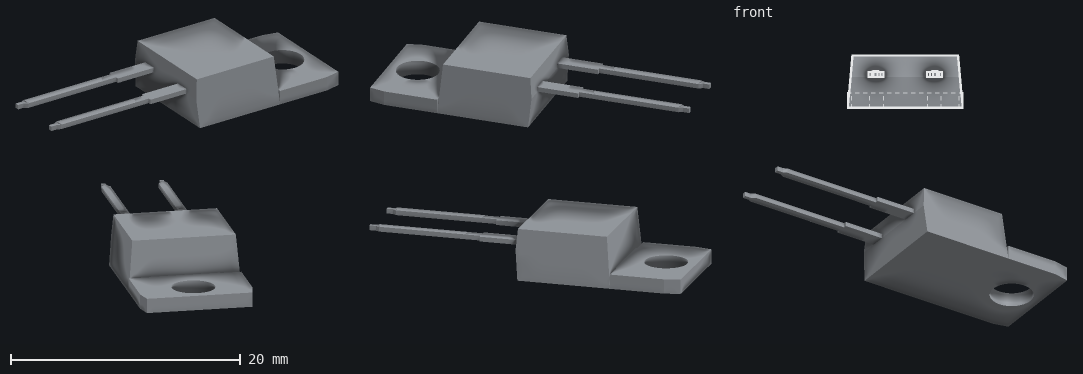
import cadquery as cq
import math


LENGTH = 28.85
WIDTH = 10.0
HEIGHT = 4.59

TAB_THICKNESS = 1.3
TAB_REACH = 6.32
TAB_CORNER_LENGTH = 1.4
TAB_CORNER_INSET = 0.32
HOLE_DIAMETER = 3.85
HOLE_FROM_END = 2.7
TONGUE_WIDTH = 6.25
TONGUE_DEPTH = 4.6

DRAFT_ANGLE = 5.0
PARTING_HEIGHT = 2.68
HOUSING_BACK = LENGTH - TAB_REACH
HOUSING_FRONT = 13.87

LEAD_OFFSET = 2.55
LEAD_THICKNESS = 0.43
LEAD_BOTTOM = PARTING_HEIGHT
LEAD_TOP = LEAD_BOTTOM + LEAD_THICKNESS
LEAD_DEPTH = 1.73
LEAD_ROOT = HOUSING_FRONT + LEAD_DEPTH
ROOT_WIDTH = 1.33
SHOULDER_Y = 10.12
SHANK_WIDTH = 0.78
TAPER_START = 0.92
TAPER_END = 0.58
TIP_WIDTH = 0.37
TIP_SHIFT = 0.043

RIDGE_WIDTH = SHANK_WIDTH - 2 * TIP_SHIFT
RIDGE_HEIGHT = 0.12
RIDGE_BACK = 8.85
RIDGE_FRONT = 0.85
RIDGE_END_BULGE = 0.17


def lean(height):
    """Horizontal shift of a drafted wall over the given height."""
    return height * math.tan(math.radians(DRAFT_ANGLE))


def make_tab():
    half_width = WIDTH / 2
    half_end = half_width - TAB_CORNER_INSET
    half_tongue = TONGUE_WIDTH / 2
    tongue_end = HOUSING_BACK - TONGUE_DEPTH
    plate = (
        cq.Workplane("XY")
        .polyline([
            (-half_end, LENGTH),
            (half_end, LENGTH),
            (half_width, LENGTH - TAB_CORNER_LENGTH),
            (half_width, HOUSING_BACK),
            (half_tongue, HOUSING_BACK),
            (half_tongue, tongue_end),
            (-half_tongue, tongue_end),
            (-half_tongue, HOUSING_BACK),
            (-half_width, HOUSING_BACK),
            (-half_width, LENGTH - TAB_CORNER_LENGTH),
        ])
        .close()
        .extrude(TAB_THICKNESS)
    )
    hole = (
        cq.Workplane("XY")
        .center(0, LENGTH - HOLE_FROM_END)
        .circle(HOLE_DIAMETER / 2)
        .extrude(TAB_THICKNESS)
    )
    return plate.cut(hole)


def make_lead(side):
    """Flat stepped lead; side is -1 for the left lead and +1 for the right one."""
    axis = side * LEAD_OFFSET
    tip_axis = axis + side * TIP_SHIFT
    half_root = ROOT_WIDTH / 2
    half_shank = SHANK_WIDTH / 2
    half_tip = TIP_WIDTH / 2
    return (
        cq.Workplane("XY", origin=(0, 0, LEAD_BOTTOM))
        .polyline([
            (axis - half_root, LEAD_ROOT),
            (axis - half_root, SHOULDER_Y),
            (axis - half_shank, SHOULDER_Y),
            (axis - half_shank, TAPER_START),
            (tip_axis - half_tip, TAPER_END),
            (tip_axis - half_tip, 0),
            (tip_axis + half_tip, 0),
            (tip_axis + half_tip, TAPER_END),
            (axis + half_shank, TAPER_START),
            (axis + half_shank, SHOULDER_Y),
            (axis + half_root, SHOULDER_Y),
            (axis + half_root, LEAD_ROOT),
        ])
        .close()
        .extrude(LEAD_THICKNESS)
    )


def make_ridge(side):
    """Low rounded bar lying on the lead, with bowed ends."""
    axis = side * (LEAD_OFFSET + TIP_SHIFT)
    half_width = RIDGE_WIDTH / 2
    bar = (
        cq.Workplane("XZ", origin=(axis, RIDGE_BACK, LEAD_TOP))
        .moveTo(-half_width, 0)
        .threePointArc((0, RIDGE_HEIGHT), (half_width, 0))
        .close()
        .extrude(RIDGE_BACK - RIDGE_FRONT)
    )
    plan = (
        cq.Workplane("XY", origin=(axis, 0, LEAD_TOP))
        .moveTo(-half_width, RIDGE_FRONT + RIDGE_END_BULGE)
        .threePointArc((0, RIDGE_FRONT), (half_width, RIDGE_FRONT + RIDGE_END_BULGE))
        .lineTo(half_width, RIDGE_BACK - RIDGE_END_BULGE)
        .threePointArc((0, RIDGE_BACK), (-half_width, RIDGE_BACK - RIDGE_END_BULGE))
        .close()
        .extrude(RIDGE_HEIGHT)
    )
    return bar.intersect(plan)


def make_housing(inserts):
    """Drafted block with a recess for each inserted body."""
    side_profile = (
        cq.Workplane("YZ", origin=(-WIDTH / 2, 0, 0))
        .polyline([
            (HOUSING_BACK, 0),
            (HOUSING_BACK - lean(HEIGHT), HEIGHT),
            (HOUSING_FRONT + lean(HEIGHT - PARTING_HEIGHT), HEIGHT),
            (HOUSING_FRONT, PARTING_HEIGHT),
            (HOUSING_FRONT + lean(PARTING_HEIGHT), 0),
        ])
        .close()
        .extrude(WIDTH)
    )
    half_top = WIDTH / 2 - lean(HEIGHT)
    end_profile = (
        cq.Workplane("XZ", origin=(0, HOUSING_BACK, 0))
        .polyline([
            (-WIDTH / 2, 0),
            (WIDTH / 2, 0),
            (half_top, HEIGHT),
            (-half_top, HEIGHT),
        ])
        .close()
        .extrude(HOUSING_BACK - HOUSING_FRONT)
    )
    block = side_profile.intersect(end_profile)
    for insert in inserts:
        block = block.cut(insert)
    return block


SIDES = (-1, 1)

tab = make_tab()
leads = [make_lead(side) for side in SIDES]
ridges = [make_ridge(side) for side in SIDES]
housing = make_housing([tab, *leads])

bodies = [housing, tab, *leads, *ridges]
result = cq.Compound.makeCompound([body.val() for body in bodies])